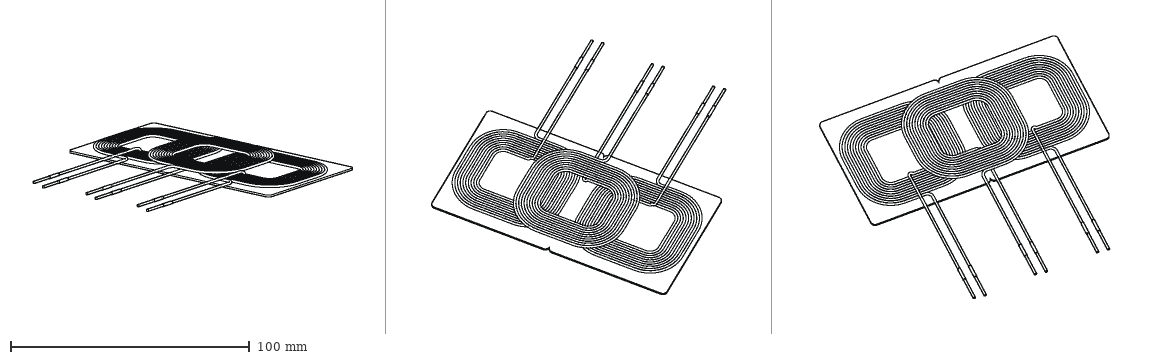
import cadquery as cq
import math

PLATE_LENGTH = 109.0
PLATE_WIDTH = 56.1
PLATE_THICKNESS = 0.9
PLATE_CORNER_RADIUS = 2.0

WIRE_DIAMETER = 1.1
WIRE_RADIUS = WIRE_DIAMETER / 2
TURN_GAP = 0.04
LAYER_GAP = 0.01
PITCH = WIRE_DIAMETER + TURN_GAP
TURNS = 10

LOWER_LEVEL = PLATE_THICKNESS + WIRE_RADIUS
UPPER_LEVEL = LOWER_LEVEL + WIRE_DIAMETER + LAYER_GAP

OUTER_COIL_OFFSET = 28.2
OUTER_COIL_HALF_RUN = 9.2
OUTER_COIL_HALF_SIDE = 7.0
OUTER_COIL_INNER_RADIUS = 4.6

MIDDLE_COIL_HALF_RUN = 8.4
MIDDLE_COIL_HALF_SIDE = 6.0
MIDDLE_COIL_INNER_RADIUS = 5.6

LEAD_OFFSET = 2.5
CROSSING_BEND_RADIUS = 0.9
SLEEVE_DIAMETER = 1.3
SLEEVE_LENGTH = 5.9
TAIL_LENGTH = 10.0
OVERALL_WIDTH = 107.4
OUTER_LEAD_END = PLATE_WIDTH / 2 - OVERALL_WIDTH
MIDDLE_LEAD_SHORTENING = 0.4
MIDDLE_LEAD_END = OUTER_LEAD_END + MIDDLE_LEAD_SHORTENING


def make_plate():
    """Plate of two halves whose rounded corners leave a cusped notch at each end of the joint."""
    half_length = PLATE_LENGTH / 2
    plate = None
    for side in (-1, 1):
        half = (
            cq.Workplane("XY")
            .box(half_length, PLATE_WIDTH, PLATE_THICKNESS, centered=(True, True, False))
            .edges("|Z")
            .fillet(PLATE_CORNER_RADIUS)
            .translate((side * half_length / 2, 0, 0))
        )
        plate = half if plate is None else plate.union(half)
    return plate


class WirePath:
    """Tangent chain of straight and round stretches followed by the wire centre line."""

    def __init__(self, start):
        self.point = cq.Vector(*start)
        self.edges = []

    def line_to(self, end):
        end = cq.Vector(*end)
        self.edges.append(cq.Edge.makeLine(self.point, end))
        self.point = end

    def arc_to(self, end, tangent):
        end = cq.Vector(*end)
        self.edges.append(cq.Edge.makeTangentArc(self.point, cq.Vector(*tangent), end))
        self.point = end

    def wire(self):
        return cq.Wire.assembleEdges(self.edges)


def add_turn(path, half_run, half_side, radius, level):
    """One turn from the bottom right to the bottom left; the left side is one pitch longer."""
    top = half_side + radius
    left_bottom = -half_side - PITCH
    reach = half_run + radius
    path.line_to((half_run, -half_side - radius, level))
    path.arc_to((reach, -half_side, level), (1, 0, 0))
    path.line_to((reach, half_side, level))
    path.arc_to((half_run, top, level), (0, 1, 0))
    path.line_to((-half_run, top, level))
    path.arc_to((-reach, half_side, level), (-1, 0, 0))
    path.line_to((-reach, left_bottom, level))
    path.arc_to((-half_run, left_bottom - radius, level), (0, -1, 0))


def coil_path(half_run, half_side, inner_radius, level, crossing_level, lead_end):
    """Centre line from the crossing lead, through all turns, to the outer lead."""
    inner_run = -half_side - inner_radius
    ramp_end = -LEAD_OFFSET + CROSSING_BEND_RADIUS
    bend_end = inner_run - CROSSING_BEND_RADIUS
    ramp_slope = 2 * math.atan2(level - crossing_level, -ramp_end)
    mid_height = (level + crossing_level) / 2

    path = WirePath((-LEAD_OFFSET, lead_end, crossing_level))
    path.line_to((-LEAD_OFFSET, bend_end, crossing_level))
    path.arc_to((ramp_end, inner_run, crossing_level), (0, 1, 0))
    path.arc_to((ramp_end / 2, inner_run, mid_height), (1, 0, 0))
    path.arc_to((0, inner_run, level), (math.cos(ramp_slope), 0, math.sin(ramp_slope)))

    for turn in range(TURNS):
        add_turn(path, half_run, half_side, inner_radius + turn * PITCH, level)

    outer_run = -half_side - inner_radius - TURNS * PITCH
    path.line_to((0, outer_run, level))
    path.arc_to((LEAD_OFFSET, outer_run - LEAD_OFFSET, level), (1, 0, 0))
    path.line_to((LEAD_OFFSET, lead_end, level))
    return path.wire()


def make_coil(half_run, half_side, inner_radius, level, crossing_level, lead_end):
    """Wound wire with a sleeve on each lead, centred on X = 0."""
    centre_line = coil_path(half_run, half_side, inner_radius, level, crossing_level, lead_end)
    coil = (
        cq.Workplane("XZ", origin=(-LEAD_OFFSET, lead_end, crossing_level))
        .circle(WIRE_RADIUS)
        .sweep(cq.Workplane(centre_line))
    )
    sleeve_start = lead_end + TAIL_LENGTH
    for lead_x, lead_level in ((-LEAD_OFFSET, crossing_level), (LEAD_OFFSET, level)):
        sleeve = (
            cq.Workplane("XZ", origin=(lead_x, sleeve_start, lead_level))
            .circle(SLEEVE_DIAMETER / 2)
            .extrude(-SLEEVE_LENGTH)
        )
        coil = coil.union(sleeve)
    return coil.solids().val()


def make_outer_coil(side):
    """Lower-layer coil on the -X (side = -1) or +X (side = 1) half of the plate."""
    coil = make_coil(
        OUTER_COIL_HALF_RUN,
        OUTER_COIL_HALF_SIDE,
        OUTER_COIL_INNER_RADIUS,
        LOWER_LEVEL,
        UPPER_LEVEL,
        OUTER_LEAD_END,
    )
    return coil.translate(cq.Vector(side * OUTER_COIL_OFFSET, 0, 0))


def make_middle_coil():
    """Upper-layer coil whose inner lead drops between the outer coils."""
    coil = make_coil(
        MIDDLE_COIL_HALF_RUN,
        MIDDLE_COIL_HALF_SIDE,
        MIDDLE_COIL_INNER_RADIUS,
        UPPER_LEVEL,
        LOWER_LEVEL,
        MIDDLE_LEAD_END,
    )
    return coil.mirror("YZ")


plate = make_plate()
outer_coils = [make_outer_coil(side) for side in (-1, 1)]
middle_coil = make_middle_coil()

result = cq.Compound.makeCompound(
    [plate.solids().val(), *outer_coils, middle_coil]
)